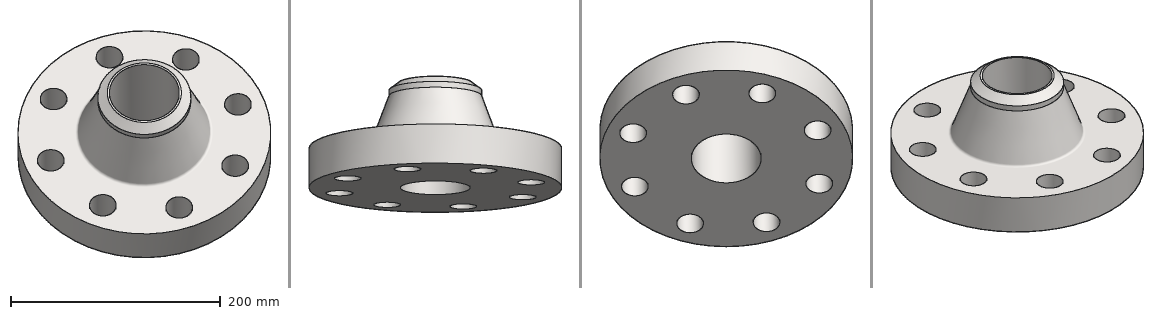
import cadquery as cq
import math

flange_diameter = 241.3
flange_thickness = 38.1
overall_height = 101.6

bolt_circle_diameter = 190.5
bolt_hole_diameter = 25.4
bolt_hole_count = 8

hub_base_diameter = 127.0
pipe_outer_diameter = 88.9
pipe_bore_diameter = 66.65
pipe_straight_length = 5.6
hub_fillet_radius = 3.0

weld_land_width = 2.0
weld_bevel_angle = 37.5


def build_body():
    """Flange plate, tapered hub and bevelled pipe end, revolved about Z."""
    flange_radius = flange_diameter / 2
    pipe_radius = pipe_outer_diameter / 2
    bore_radius = pipe_bore_diameter / 2
    land_radius = bore_radius + weld_land_width
    bevel_height = (pipe_radius - land_radius) * math.tan(math.radians(weld_bevel_angle))
    bevel_start = overall_height - bevel_height
    profile = (
        cq.Workplane("XZ")
        .polyline([
            (bore_radius, 0),
            (flange_radius, 0),
            (flange_radius, flange_thickness),
            (hub_base_diameter / 2, flange_thickness),
            (pipe_radius, bevel_start - pipe_straight_length),
            (pipe_radius, bevel_start),
            (land_radius, overall_height),
            (bore_radius, overall_height),
        ])
        .close()
    )
    return profile.revolve(360, (0, 0, 0), (0, 1, 0))


def round_hub_root(body):
    """Fillet the corner where the hub meets the flange plate."""
    second_largest_circle = cq.selectors.RadiusNthSelector(-2)
    return body.edges("%CIRCLE").edges(second_largest_circle).fillet(hub_fillet_radius)


def drill_bolt_holes(body):
    """Through holes evenly spaced on the bolt circle, one of them on +X."""
    holes = (
        cq.Workplane("XY")
        .polarArray(bolt_circle_diameter / 2, 0, 360, bolt_hole_count)
        .circle(bolt_hole_diameter / 2)
        .extrude(flange_thickness)
    )
    return body.cut(holes)


result = drill_bolt_holes(round_hub_root(build_body()))